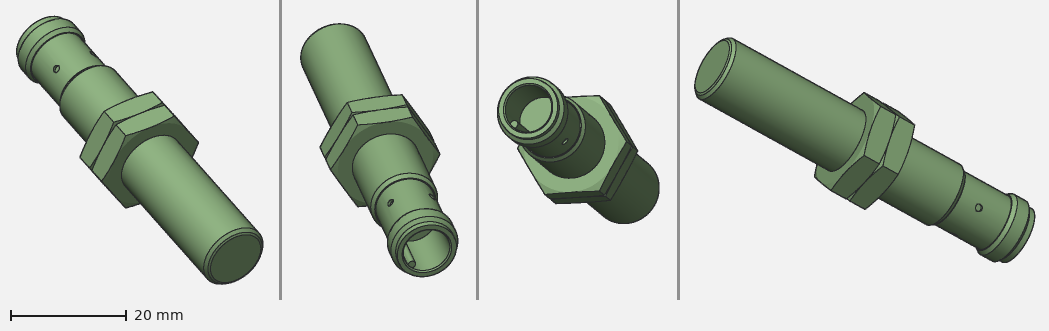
import cadquery as cq
import math


length = 65.1
barrel_dia = 12.0
rim_dia = 10.6
neck_dia = 10.55
collar_start = 1.1
collar_lead_in = 0.6
collar_end = 5.0
shoulder_start = 15.0
shoulder_length = 0.8
neck_taper_depth = 0.2
tip_chamfer_length = 0.6
tip_chamfer_dia = 10.95
tip_face_dia = 10.15
tip_edge_length = 0.2

socket_dia = 8.35
socket_depth = 9.75
socket_mouth_dia = 8.85
socket_chamfer = (socket_mouth_dia - socket_dia) / 2
key_width = 1.3
key_start = 0.3
key_nose_radius = 3.65
key_angle = -45.0
window_dia = 1.3
window_x = 10.8
window_depth = 0.5
window_count = 4
first_window_angle = 45.0

nut_flats = 17.0
nut_corners = nut_flats / math.cos(math.radians(30))
nut_thickness = 4.05
nut_count = 2
nut_chamfer_length = 0.4
nuts_start = length / 2 - nut_thickness


def turned(profile):
    """Solid of revolution about X from (x, radius) points, closed along the axis."""
    return cq.Workplane("XY").polyline(profile).close().revolve(360, (0, 0, 0), (1, 0, 0))


def make_barrel_blank():
    r = barrel_dia / 2
    neck_r = neck_dia / 2
    taper_r = neck_r + neck_taper_depth
    return turned([
        (0, 0),
        (0, rim_dia / 2),
        (collar_start, rim_dia / 2),
        (collar_start + collar_lead_in, r),
        (collar_end - shoulder_length, r),
        (collar_end, taper_r),
        (collar_end, neck_r),
        (shoulder_start, neck_r),
        (shoulder_start, taper_r),
        (shoulder_start + shoulder_length, r),
        (length - tip_edge_length - tip_chamfer_length, r),
        (length - tip_edge_length, tip_chamfer_dia / 2),
        (length, tip_face_dia / 2),
        (length, 0),
    ])


def make_socket():
    return turned([
        (0, 0),
        (0, socket_mouth_dia / 2),
        (socket_chamfer, socket_dia / 2),
        (socket_depth, socket_dia / 2),
        (socket_depth, 0),
    ])


def make_key():
    """Round-nosed rib with parallel sides, trimmed to the socket bore."""
    base = cq.Workplane("YZ", origin=(key_start, 0, 0))
    rib_length = socket_depth - key_start
    half_width = key_width / 2
    outer_radius = socket_dia / 2
    rib = (
        base.moveTo(outer_radius, -half_width)
        .lineTo(key_nose_radius, -half_width)
        .threePointArc((key_nose_radius - half_width, 0), (key_nose_radius, half_width))
        .lineTo(outer_radius, half_width)
        .close()
        .extrude(rib_length)
        .rotate((0, 0, 0), (1, 0, 0), key_angle)
    )
    return rib.intersect(base.circle(outer_radius).extrude(rib_length))


def make_window(angle):
    """Blind radial hole cutter in the neck, turned about X."""
    return (
        cq.Workplane("XY", origin=(window_x, 0, neck_dia / 2 - window_depth))
        .circle(window_dia / 2)
        .extrude(barrel_dia / 2)
        .rotate((0, 0, 0), (1, 0, 0), angle)
    )


def make_barrel():
    barrel = make_barrel_blank().cut(make_socket().cut(make_key()))
    for i in range(window_count):
        barrel = barrel.cut(make_window(first_window_angle + i * 360 / window_count))
    return barrel


def make_nut(start_x):
    """Hex nut with corners on the Y axis; both ends are coned at the corners."""
    hexagon = cq.Workplane("YZ").polygon(6, nut_corners).extrude(nut_thickness)
    cones = turned([
        (0, 0),
        (0, nut_flats / 2),
        (nut_chamfer_length, nut_corners / 2),
        (nut_thickness - nut_chamfer_length, nut_corners / 2),
        (nut_thickness, nut_flats / 2),
        (nut_thickness, 0),
    ])
    bore = cq.Workplane("YZ").circle(barrel_dia / 2).extrude(nut_thickness)
    return hexagon.intersect(cones).cut(bore).translate((start_x, 0, 0))


barrel = make_barrel()
nuts = [make_nut(nuts_start + i * nut_thickness) for i in range(nut_count)]

result = cq.Compound.makeCompound([barrel.val(), *[nut.val() for nut in nuts]])